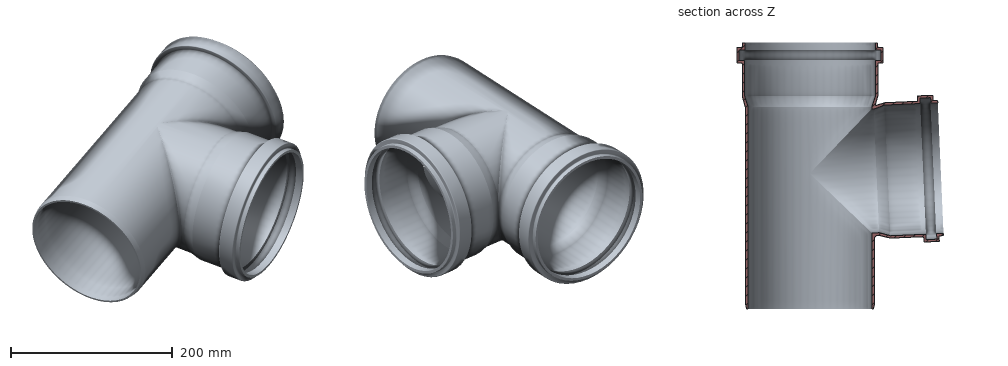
import cadquery as cq
import math

PIPE_OD = 160.3
PIPE_BORE = 152.3

SOCKET_OD = 168.1
SOCKET_BORE = 161.1
LIP_OD = 167.7
LIP_BORE = 160.7
RING_OD = 181.4
RING_GROOVE_OD = 174.4
WALL = (RING_OD - RING_GROOVE_OD) / 2
RING_FRONT = 5.6
RING_WIDTH = 19.6
RING_BACK = RING_FRONT + RING_WIDTH
RING_EDGE_RADIUS = 1.0
SOCKET_DEPTH = 65.8
TAPER_END = 79.4

MOUTH_REACH = 161.8
RUN_LENGTH = 329.0
SPIGOT_REACH = RUN_LENGTH - MOUTH_REACH
BRANCH_TILT = 2.5

SEAM_BALL_RADIUS = 2.0

SPIGOT_CHAMFER_LENGTH = 7.0
SPIGOT_CHAMFER_DEPTH = 1.6


def revolve_about_y(points):
    """Solid of revolution about Y from a (radius, y) outline closed along the axis."""
    return cq.Workplane("XY").polyline(points).close().revolve(360, (0, 0), (0, 1))


def pipe_cylinder(diameter, start, end):
    """Cylinder on the Y axis between two stations."""
    radius = diameter / 2
    return revolve_about_y([(0, start), (radius, start), (radius, end), (0, end)])


def socket_outside():
    """Outer body of a socket facing +Y: taper, barrel, seal ring and lip."""
    body = revolve_about_y([
        (0, MOUTH_REACH - TAPER_END),
        (PIPE_OD / 2, MOUTH_REACH - TAPER_END),
        (SOCKET_OD / 2, MOUTH_REACH - SOCKET_DEPTH),
        (SOCKET_OD / 2, MOUTH_REACH - RING_BACK + WALL),
        (LIP_OD / 2, MOUTH_REACH - RING_BACK + WALL),
        (LIP_OD / 2, MOUTH_REACH),
        (0, MOUTH_REACH),
    ])
    ring = pipe_cylinder(RING_OD, MOUTH_REACH - RING_BACK, MOUTH_REACH - RING_FRONT)
    flank_edges = cq.selectors.BoxSelector(
        (-RING_OD, MOUTH_REACH - RING_BACK - RING_EDGE_RADIUS, -RING_OD),
        (RING_OD, MOUTH_REACH - RING_FRONT + RING_EDGE_RADIUS, RING_OD),
    )
    return body.union(ring).edges("%CIRCLE").edges(flank_edges).fillet(RING_EDGE_RADIUS)


def socket_inside():
    """Cavity of a socket facing +Y: taper, bore, seal groove and lip opening."""
    groove_back = MOUTH_REACH - RING_BACK + WALL
    groove_front = MOUTH_REACH - RING_FRONT - WALL
    return revolve_about_y([
        (0, MOUTH_REACH - TAPER_END),
        (PIPE_BORE / 2, MOUTH_REACH - TAPER_END),
        (SOCKET_BORE / 2, MOUTH_REACH - SOCKET_DEPTH),
        (SOCKET_BORE / 2, groove_back),
        (RING_GROOVE_OD / 2, groove_back),
        (RING_GROOVE_OD / 2, groove_front),
        (LIP_BORE / 2, groove_front),
        (LIP_BORE / 2, MOUTH_REACH),
        (0, MOUTH_REACH),
    ])


def turn_to_branch(shape):
    """Swing a body from the run axis onto the branch axis."""
    return shape.rotate((0, 0, 0), (0, 0, 1), BRANCH_TILT - 90)


def run_outside():
    """Outer body of the straight run with its chamfered spigot end."""
    radius = PIPE_OD / 2
    pipe = revolve_about_y([
        (0, -SPIGOT_REACH),
        (radius - SPIGOT_CHAMFER_DEPTH, -SPIGOT_REACH),
        (radius, SPIGOT_CHAMFER_LENGTH - SPIGOT_REACH),
        (radius, MOUTH_REACH - TAPER_END),
        (0, MOUTH_REACH - TAPER_END),
    ])
    return pipe.union(socket_outside())


def run_inside():
    """Cavity of the straight run, open at both ends."""
    return pipe_cylinder(PIPE_BORE, -SPIGOT_REACH, MOUTH_REACH - TAPER_END).union(socket_inside())


def branch_outside():
    """Outer body of the branch, starting at the run axis."""
    pipe = pipe_cylinder(PIPE_OD, 0, MOUTH_REACH - TAPER_END)
    return turn_to_branch(pipe.union(socket_outside()))


def branch_inside():
    """Cavity of the branch, starting at the run axis."""
    pipe = pipe_cylinder(PIPE_BORE, 0, MOUTH_REACH - TAPER_END)
    return turn_to_branch(pipe.union(socket_inside()))


def seam_bevel(corner_angle, bisector_angle):
    """Strip filling the corner between run and branch.

    The strip is flat across the seam and follows an ellipse along it, so that it fades out
    where the two pipes become tangent at the top and bottom.
    """
    half_corner = math.radians(corner_angle / 2)
    pipe_radius = PIPE_OD / 2
    ball_distance = (pipe_radius + SEAM_BALL_RADIUS) / math.sin(half_corner)
    reach = ball_distance - SEAM_BALL_RADIUS * math.sin(half_corner)
    half_width = 2 * SEAM_BALL_RADIUS * math.cos(half_corner)
    start = 3 * SEAM_BALL_RADIUS
    outer_half = cq.Workplane("XY").box(reach, PIPE_OD, PIPE_OD).translate((start + reach / 2, 0, 0))
    return (
        cq.Workplane("XZ")
        .ellipse(reach, pipe_radius)
        .extrude(half_width, both=True)
        .intersect(outer_half)
        .rotate((0, 0, 0), (0, 0, 1), bisector_angle)
    )


upper_corner = 90 - BRANCH_TILT
lower_corner = 90 + BRANCH_TILT
outside = (
    run_outside()
    .union(branch_outside())
    .union(seam_bevel(upper_corner, BRANCH_TILT + upper_corner / 2))
    .union(seam_bevel(lower_corner, BRANCH_TILT - lower_corner / 2))
)
result = outside.cut(run_inside()).cut(branch_inside())